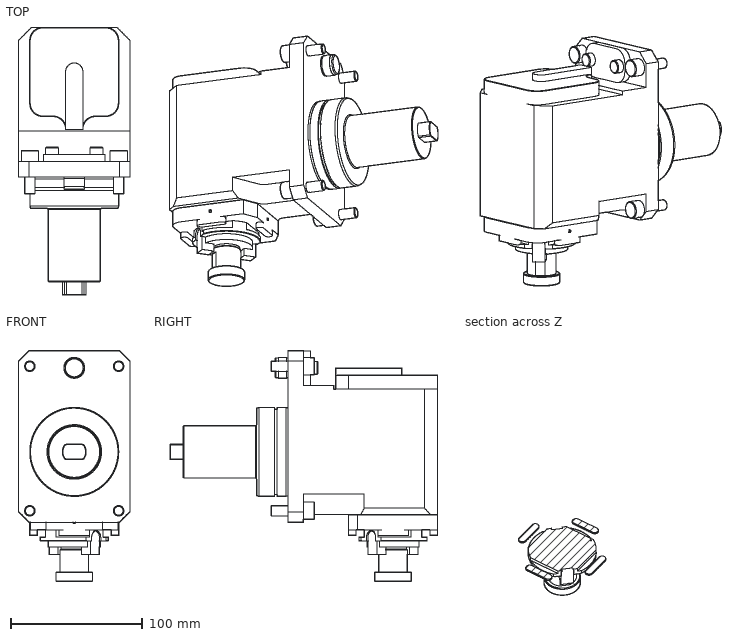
import cadquery as cq
import math


width = 85.0
length = 204.0
height = 176.0
plate_top = 77.1
housing_back = 114.0
shaft_tip = housing_back - length
spindle_tip = plate_top - height

plate_thickness = 11.8
plate_height = 130.8
plate_chamfer = 8.0
screw_x = 33.9
screw_z_levels = (65.3, -44.9)
screw_diameter = 8.0
screw_head_diameter = 13.0
screw_head_height = 8.5
screw_projection = 13.0
screw_tip_chamfer = 0.6
head_chamfer = 0.6

bracket_thickness = 5.5
bracket_width = 47.0
bracket_corner = 10.0
bracket_drop = 0.1
bolt_x = 17.0
bolt_z = 64.0
bolt_head_diameter = 10.0
bolt_head_height = 5.5
pin_diameter = 15.3
pin_projection = 10.0
pin_chamfer = 0.8
pin_band_diameter = 16.0
pin_band_start = 1.0
pin_band_end = 7.3

flange_diameter = 68.0
flange_length = 23.9
flange_relief_diameter = 67.5
flange_relief_length = 1.6
flange_chamfer_length = 1.6
flange_chamfer_depth = 0.6
flange_groove_diameter = 65.0
flange_groove_start = 8.2
flange_groove_width = 2.0
shank_diameter = 40.0
shank_end = 80.0
shank_chamfer = 0.6
shank_root_bevel = 0.8
tang_diameter = 18.2
tang_thickness = 11.8
tang_chamfer = 0.5
tang_edge_chamfer = 0.8

housing_top = 50.8
housing_bottom = -47.7
housing_back_chamfer = 10.0
top_step_depth = 2.9
top_step_y = 35.0
lower_chamfer_width = 4.5
lower_chamfer_height = 4.9

pocket_roof = -32.0
pocket_wall_x = 17.5
pocket_corner_radius = 6.1
pocket_slope = 30.0
pocket_slope_start_y = 58.1

cover_size = 68.0
cover_corner_radius = 10.0
cover_top = 58.8
cover_edge_chamfer = 0.5
tongue_width = 13.0
tongue_top = 63.9
tongue_front = 36.3
tongue_back = 87.0
lower_cover_bottom = -59.4
dimple_diameter = 2.0
dimple_depth = 1.0
dimple_z = -53.7

key_thickness = 6.0
key_length = 23.3
key_bottom = -63.6
neck_width = 44.0
neck_bottom = -64.9
ring_diameter = 52.0
ring_bottom = -68.0
ring_chamfer = 0.5
ring_flat_distance = 23.7
collar_diameter = 40.0
collar_bottom = -72.6
lug_width = 9.8
lug_inner = 12.6
lug_outer = 22.2
lug_top = -60.2
lug_bottom = -78.3
lug_direction = -45.0
spindle_diameter = 22.0
spindle_groove_diameter = 20.5
spindle_groove_length = 1.5
spindle_flat_distance = 10.5
knob_diameter = 28.0
knob_height = 7.5
knob_chamfer = 0.6

deck = housing_top - top_step_depth
cover_y = housing_back - cover_size / 2
knob_top = spindle_tip + knob_height


def box(x0, x1, y0, y1, z0, z1):
    """Box between two opposite corners."""
    return cq.Workplane("XY").box(x1 - x0, y1 - y0, z1 - z0, centered=False).translate((x0, y0, z0))


def cylinder_y(x, z, diameter, y0, y1):
    """Cylinder along Y, from y0 to the larger y1."""
    return cq.Workplane("XZ", origin=(x, y1, z)).circle(diameter / 2).extrude(y1 - y0)


def cylinder_z(diameter, z0, z1):
    """Cylinder on the output spindle axis, from z0 to the larger z1."""
    return cq.Workplane("XY", origin=(0, cover_y, z0)).circle(diameter / 2).extrude(z1 - z0)


def make_plate():
    """Mounting plate with bevelled corners."""
    half = width / 2
    plate = box(-half, half, 0, plate_thickness, plate_top - plate_height, plate_top)
    return plate.edges("|Y").chamfer(plate_chamfer)


def make_plate_screw(x, z):
    shank = cylinder_y(x, z, screw_diameter, -screw_projection, plate_thickness)
    shank = shank.faces("<Y").chamfer(screw_tip_chamfer)
    head = cylinder_y(x, z, screw_head_diameter, plate_thickness, plate_thickness + screw_head_height)
    head = head.faces(">Y").chamfer(head_chamfer)
    return shank.union(head)


def make_bracket():
    half = bracket_width / 2
    back = plate_thickness + bracket_thickness
    bracket = box(-half, half, plate_thickness, back, housing_top, plate_top - bracket_drop)
    bracket = bracket.edges("|Y").fillet(bracket_corner)
    for x in (-bolt_x, bolt_x):
        head = cylinder_y(x, bolt_z, bolt_head_diameter, back, back + bolt_head_height)
        bracket = bracket.union(head.faces(">Y").chamfer(head_chamfer))
    return bracket


def make_locating_pin():
    pin = cylinder_y(0, bolt_z, pin_diameter, -pin_projection, plate_thickness)
    band = cylinder_y(0, bolt_z, pin_band_diameter, -pin_band_end, -pin_band_start)
    return pin.faces("<Y").chamfer(pin_chamfer).union(band)


def make_drive_shaft():
    """Grooved flange with the shank and its two-flat tang."""
    relief = flange_relief_diameter / 2
    outer = flange_diameter / 2
    groove = flange_groove_diameter / 2
    groove_end = flange_groove_start + flange_groove_width
    profile = [
        (0, 0),
        (relief, 0),
        (relief, -flange_relief_length),
        (outer, -flange_relief_length),
        (outer, -flange_groove_start),
        (groove, -flange_groove_start),
        (groove, -groove_end),
        (outer, -groove_end),
        (outer, flange_chamfer_length - flange_length),
        (outer - flange_chamfer_depth, -flange_length),
        (shank_diameter / 2 + shank_root_bevel, -flange_length),
        (shank_diameter / 2, -flange_length - shank_root_bevel),
        (0, -flange_length - shank_root_bevel),
    ]
    flange = cq.Workplane("XY").polyline(profile).close().revolve(360, (0, 0), (0, 1))
    shank = cylinder_y(0, 0, shank_diameter, -shank_end, 0).faces("<Y").chamfer(shank_chamfer)
    tang = cylinder_y(0, 0, tang_diameter, shaft_tip, -shank_end)
    tang = tang.intersect(cq.Workplane("XY").box(width, 2 * length, tang_thickness))
    tang = tang.edges("|Y").chamfer(tang_edge_chamfer)
    return flange.union(shank).union(tang.faces("<Y").chamfer(tang_chamfer))


def make_pocket(side):
    """Screw clearance behind the plate: a side wall with rounded corners and a sloping back wall."""
    half = width / 2
    run = half - pocket_wall_x
    wall_y = pocket_slope_start_y - run * math.tan(math.radians(pocket_slope))
    outline = [
        (side * half, plate_thickness),
        (side * half, pocket_slope_start_y),
        (side * pocket_wall_x, wall_y),
        (side * pocket_wall_x, plate_thickness),
    ]
    pocket = cq.Workplane("XY", origin=(0, 0, pocket_roof)).polyline(outline).close()
    pocket = pocket.extrude(lower_cover_bottom - pocket_roof)
    inner_edges = "|Z and <X" if side > 0 else "|Z and >X"
    return pocket.edges(inner_edges).fillet(pocket_corner_radius)


def cut_pockets(body):
    """Remove both screw pockets from a body."""
    for side in (-1, 1):
        body = body.cut(make_pocket(side))
    return body


def make_housing():
    half = width / 2
    housing = box(-half, half, plate_thickness, housing_back, housing_bottom, housing_top)
    housing = housing.edges("|Z and >Y").chamfer(housing_back_chamfer)
    housing = housing.cut(box(-half, half, top_step_y, housing_back, deck, housing_top))
    for side in (-1, 1):
        bevel = [
            (side * half, housing_bottom + lower_chamfer_height),
            (side * half, housing_bottom),
            (side * (half - lower_chamfer_width), housing_bottom),
        ]
        housing = housing.cut(cq.Workplane("XZ").polyline(bevel).close().extrude(-housing_back))
    return cut_pockets(housing)


def make_top_cover():
    """Rounded square cover whose front edge flares into the sides of the tongue."""
    half = cover_size / 2
    front = cover_y - half
    cover = box(-half, half, front, housing_back, deck, cover_top)
    cover = cover.edges("|Z").fillet(cover_corner_radius)
    neck = tongue_width / 2
    flare = front - tongue_front
    flare_shape = (
        cq.Workplane("XY", origin=(0, 0, deck))
        .moveTo(-neck - flare, front)
        .radiusArc((-neck, tongue_front), flare)
        .lineTo(neck, tongue_front)
        .radiusArc((neck + flare, front), flare)
        .close()
        .extrude(cover_top - deck)
    )
    return cover.union(flare_shape).faces(">Z").chamfer(cover_edge_chamfer)


def make_tongue():
    radius = tongue_width / 2
    round_center = tongue_back - radius
    tongue = box(-radius, radius, tongue_front, round_center, deck, tongue_top)
    end = cq.Workplane("XY", origin=(0, round_center, deck)).circle(radius).extrude(tongue_top - deck)
    return tongue.union(end)


def make_lower_cover():
    half = cover_size / 2
    cover = box(-half, half, cover_y - half, housing_back, lower_cover_bottom, housing_bottom)
    cover = cut_pockets(cover.edges("|Z").fillet(cover_corner_radius))
    cover = cover.faces(">Z").chamfer(cover_edge_chamfer)
    cover = cover.cut(cylinder_y(0, dimple_z, dimple_diameter, cover_y - half, cover_y - half + dimple_depth))
    side_dimple = cq.Workplane("YZ", origin=(-half, cover_y, dimple_z)).circle(dimple_diameter / 2)
    return cover.cut(side_dimple.extrude(dimple_depth))


def make_key(quarter_turns):
    """Round-ended key flush with one side of the lower cover."""
    center = cover_y - cover_size / 2 + key_thickness / 2
    key = cq.Workplane("XY", origin=(0, center, key_bottom)).slot2D(key_length, key_thickness)
    key = key.extrude(lower_cover_bottom - key_bottom)
    return key.rotate((0, cover_y, 0), (0, cover_y, 1), 90 * quarter_turns)


def turned_box(x0, x1, y0, y1, z0, z1):
    """Box measured from the output spindle axis, with its X along the line of the two lugs."""
    straight = box(x0, x1, y0, y1, z0, z1)
    return straight.rotate((0, 0, 0), (0, 0, 1), lug_direction).translate((0, cover_y, 0))


def make_lug(side, inner, outer):
    """Bar with an arched top, reaching from inner to outer on one side of the output spindle."""
    radius = lug_width / 2
    arch_z = lug_top - radius
    bar = (
        cq.Workplane("YZ", origin=(inner, 0, 0))
        .moveTo(-radius, lug_bottom)
        .lineTo(-radius, arch_z)
        .threePointArc((0, lug_top), (radius, arch_z))
        .lineTo(radius, lug_bottom)
        .close()
        .extrude(outer - inner)
    )
    turn = lug_direction if side > 0 else lug_direction + 180
    return bar.rotate((0, 0, 0), (0, 0, 1), turn).translate((0, cover_y, 0))


def make_spindle_nose():
    """Squared neck, ring with two flats, collar and the two driving lugs let into them."""
    half = neck_width / 2
    neck = cylinder_z(ring_diameter, neck_bottom, lower_cover_bottom)
    neck = neck.intersect(box(-half, half, cover_y - half, cover_y + half, neck_bottom, lower_cover_bottom))
    ring = cylinder_z(ring_diameter, ring_bottom, neck_bottom).faces("<Z").chamfer(ring_chamfer)
    nose = neck.union(ring)
    flat = ring_flat_distance
    nose = nose.intersect(turned_box(-flat, flat, -width, width, ring_bottom, lower_cover_bottom))
    nose = nose.union(cylinder_z(collar_diameter, collar_bottom, ring_bottom))
    for side in (-1, 1):
        nose = nose.cut(make_lug(side, lug_outer, ring_diameter))
        nose = nose.union(make_lug(side, lug_inner, lug_outer))
    return nose


def make_spindle():
    """Spindle with a groove under the collar, a flat on one side and a knob at the tip."""
    groove_bottom = collar_bottom - spindle_groove_length
    core = cylinder_z(spindle_groove_diameter, knob_top, collar_bottom)
    shaft = cylinder_z(spindle_diameter, knob_top, groove_bottom)
    shaft = shaft.faces(">Z").chamfer((spindle_diameter - spindle_groove_diameter) / 2)
    shaft = shaft.cut(turned_box(-width, -spindle_flat_distance, -width, width, knob_top, lug_bottom))
    knob = cylinder_z(knob_diameter, spindle_tip, knob_top).faces("<Z or >Z").chamfer(knob_chamfer)
    return core.union(shaft).union(knob)


result = make_housing().union(make_lower_cover()).union(make_top_cover()).union(make_tongue())

result = result.union(make_plate()).union(make_bracket()).union(make_locating_pin())
for screw_z in screw_z_levels:
    for screw_side in (-1, 1):
        result = result.union(make_plate_screw(screw_side * screw_x, screw_z))
result = result.union(make_drive_shaft())

for turns in range(4):
    result = result.union(make_key(turns))
result = result.union(make_spindle_nose()).union(make_spindle())